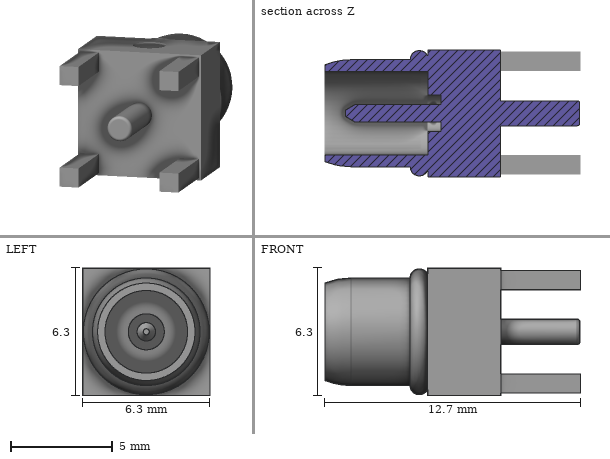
import cadquery as cq

total_length = 12.65
body_width = 6.3
body_front = 5.09
body_back = 8.7

barrel_radius = 5.33 / 2
nose_radius = 4.82 / 2
nose_length = 1.3
nose_bulge = 0.06
bore_radius = 4.09 / 2
bore_depth = body_front

bead_outer_radius = 3.11
bead_section_radius = 0.45
bead_center_x = 4.67

contact_radius = 0.91 / 2
contact_tip_radius = 0.15
contact_tip_x = 1.0
contact_taper_length = 0.5
clearance_radius = 1.78 / 2
clearance_depth = 0.63

leg_width = 0.96
leg_inset = 0.11
tail_radius = 1.26 / 2
tail_end = 12.61
tail_rounding = 0.15

recess_radius = 1.65 / 2
recess_depth = 0.06
recess_floor_radius = recess_radius - recess_depth
recess_x = 6.78


def cylinder_x(radius, start, end):
    """Solid cylinder on the X axis between two X positions."""
    return cq.Workplane("YZ", origin=(start, 0, 0)).circle(radius).extrude(end - start)


def make_body():
    length = body_back - body_front
    return cq.Workplane("YZ", origin=(body_front, 0, 0)).rect(body_width, body_width).extrude(length)


def make_barrel():
    nose_middle = (nose_length / 2, (nose_radius + barrel_radius) / 2 + nose_bulge)
    return (
        cq.Workplane("XY")
        .lineTo(0, nose_radius)
        .threePointArc(nose_middle, (nose_length, barrel_radius))
        .lineTo(body_front, barrel_radius)
        .lineTo(body_front, 0)
        .close()
        .revolve(360, (0, 0, 0), (1, 0, 0))
    )


def make_bead():
    bead_center_radius = bead_outer_radius - bead_section_radius
    return (
        cq.Workplane("XY")
        .moveTo(bead_center_x, bead_center_radius)
        .circle(bead_section_radius)
        .revolve(360, (0, 0, 0), (1, 0, 0))
    )


def make_contact():
    contact_end = bore_depth + clearance_depth
    return (
        cq.Workplane("XY")
        .moveTo(contact_tip_x, 0)
        .lineTo(contact_tip_x, contact_tip_radius)
        .lineTo(contact_tip_x + contact_taper_length, contact_radius)
        .lineTo(contact_end, contact_radius)
        .lineTo(contact_end, 0)
        .close()
        .revolve(360, (0, 0, 0), (1, 0, 0))
    )


def make_legs():
    offset = body_width / 2 - leg_inset - leg_width / 2
    return (
        cq.Workplane("YZ", origin=(body_back, 0, 0))
        .rarray(2 * offset, 2 * offset, 2, 2)
        .rect(leg_width, leg_width)
        .extrude(total_length - body_back)
    )


def make_tail():
    return cylinder_x(tail_radius, body_back, tail_end).faces(">X").edges().fillet(tail_rounding)


def make_recess():
    return (
        cq.Workplane("XY", origin=(recess_x, 0, body_width / 2 - recess_depth))
        .circle(recess_floor_radius)
        .workplane(offset=recess_depth)
        .circle(recess_radius)
        .loft()
    )


shell = make_body().union(make_barrel()).union(make_bead())
shell = shell.cut(cylinder_x(bore_radius, 0, bore_depth))
shell = shell.cut(cylinder_x(clearance_radius, bore_depth, bore_depth + clearance_depth))
shell = shell.cut(make_recess())
result = shell.union(make_contact()).union(make_legs()).union(make_tail())